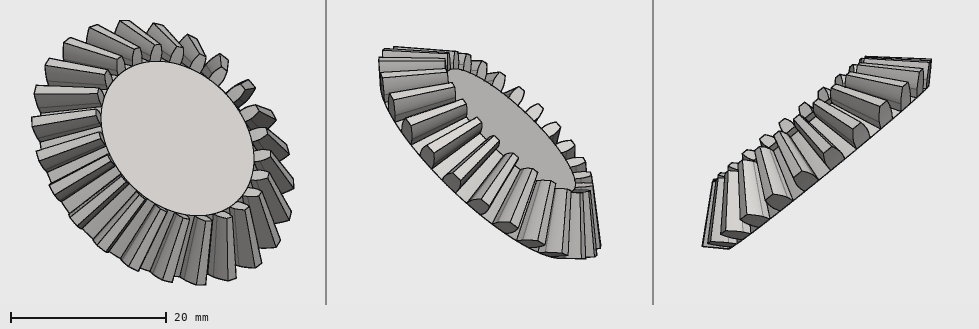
import cadquery as cq
import math

TOOTH_COUNT = 24
TIP_RADIUS = 19.05
CONE_ANGLE = 45.0
AXIS_TILT = 45.0
PRESSURE_ANGLE = 13.5
DEDENDUM_RATIO = 1.25
FACE_RATIO = 1 / 3

LENGTH_MARGIN = 0.1
TIP_MARGIN = 0.2
ROOT_MARGIN = 0.6
FLANK_STEPS = 8

cone_sin = math.sin(math.radians(CONE_ANGLE))
cone_cos = math.cos(math.radians(CONE_ANGLE))

module = TIP_RADIUS / (TOOTH_COUNT / 2 + cone_cos)
pitch_radius = module * TOOTH_COUNT / 2
cone_distance = pitch_radius / cone_sin
addendum = module
dedendum = DEDENDUM_RATIO * module
small_end_scale = 1 - FACE_RATIO

apex_height = pitch_radius * cone_cos / cone_sin + dedendum * cone_sin


def toward_apex(large_end_point):
    """Small-end counterpart of a large-end (radius, height) point."""
    radius, height = large_end_point
    return (radius * small_end_scale, apex_height + (height - apex_height) * small_end_scale)


large_root = (pitch_radius - dedendum * cone_cos, 0)
large_tip = (TIP_RADIUS, (addendum + dedendum) * cone_sin)
small_root = toward_apex(large_root)
small_tip = toward_apex(large_tip)


def turned_body(rim):
    """Solid of revolution about Z whose outer side follows the rim points."""
    bottom_centre = (0, rim[0][1])
    top_centre = (0, rim[-1][1])
    outline = cq.Workplane("XZ").polyline([bottom_centre, *rim, top_centre]).close()
    return outline.revolve(360, (0, 0), (0, 1))


spur_radius = pitch_radius / cone_cos
base_radius = spur_radius * math.cos(math.radians(PRESSURE_ANGLE))
profile_top_radius = spur_radius + addendum + TIP_MARGIN * module
profile_foot_radius = spur_radius - dedendum - ROOT_MARGIN * module


def involute(angle):
    return math.tan(angle) - angle


pitch_half_angle = math.pi * module / 4 / spur_radius
base_half_angle = pitch_half_angle + involute(math.radians(PRESSURE_ANGLE))


def flank_point(radius):
    """Height above the pitch line and half width of the tooth at a spur radius."""
    half_angle = base_half_angle
    if radius > base_radius:
        half_angle -= involute(math.acos(base_radius / radius))
    return (radius * math.cos(half_angle) - spur_radius, radius * math.sin(half_angle))


def tooth_section(distance):
    """Tooth outline on a plane square to the pitch cone, at a distance from the apex."""
    scale = distance / cone_distance
    plane = cq.Plane(
        origin=(distance * cone_sin, 0, apex_height - distance * cone_cos),
        xDir=(cone_cos, 0, cone_sin),
        normal=(cone_sin, 0, -cone_cos),
    )
    involute_depth = profile_top_radius - base_radius
    radii = [base_radius + involute_depth * step / FLANK_STEPS for step in range(FLANK_STEPS + 1)]
    side = [flank_point(radius) for radius in [profile_foot_radius, *radii]]
    foot, *flank = [(height * scale, half_width * scale) for height, half_width in side]
    mirrored_foot = (foot[0], -foot[1])
    mirrored_flank = [(height, -half_width) for height, half_width in reversed(flank)]
    outline = (
        cq.Workplane(plane)
        .moveTo(*foot)
        .lineTo(*flank[0])
        .spline(flank[1:], includeCurrent=True)
        .lineTo(*mirrored_flank[0])
        .spline(mirrored_flank[1:], includeCurrent=True)
        .lineTo(*mirrored_foot)
        .close()
    )
    return outline.val()


def make_tooth():
    """One tooth, tapering to the apex and trimmed by the back, tip and front cones."""
    large_section = tooth_section(cone_distance * (1 + LENGTH_MARGIN))
    small_section = tooth_section(cone_distance * (small_end_scale - LENGTH_MARGIN))
    raw_tooth = cq.Workplane(cq.Solid.makeLoft([large_section, small_section], True))
    envelope = turned_body([large_root, large_tip, small_tip, small_root])
    return raw_tooth.intersect(envelope)


gear = turned_body([large_root, small_root])
tooth = make_tooth()
for index in range(TOOTH_COUNT):
    gear = gear.union(tooth.rotate((0, 0, 0), (0, 0, 1), index * 360 / TOOTH_COUNT))

result = gear.rotate((0, 0, 0), (0, 1, 0), AXIS_TILT)